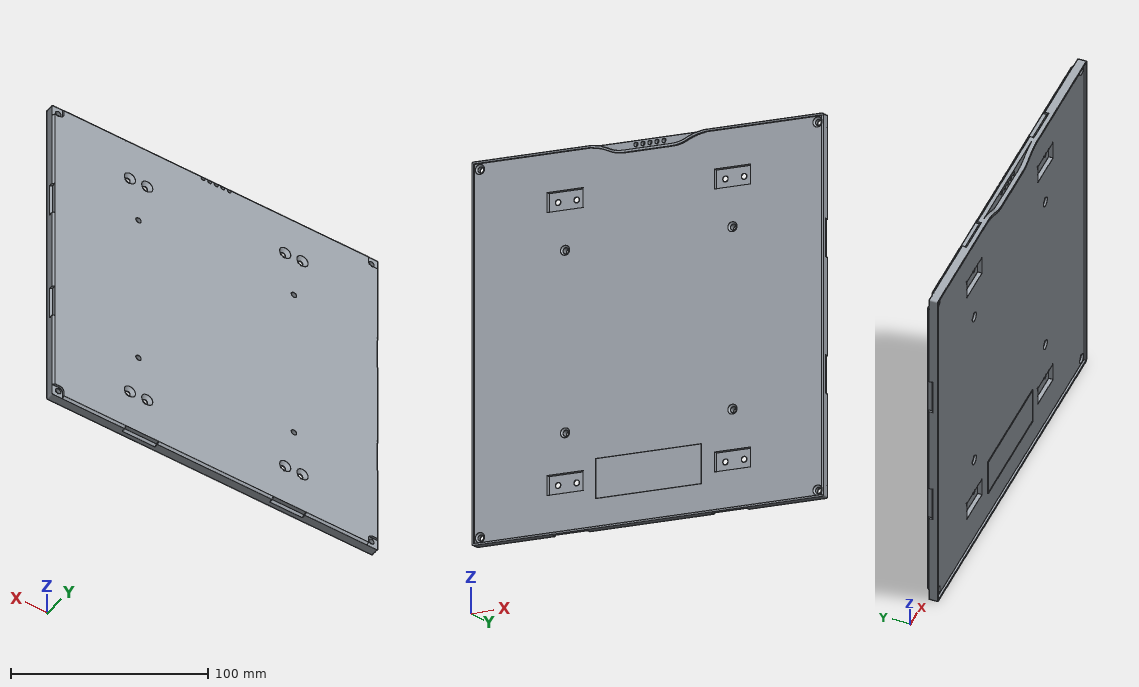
import cadquery as cq
import math

SIDE = 201.8
THICKNESS = 5.9
HALF = SIDE / 2
FRONT = -THICKNESS / 2
BACK = THICKNESS / 2

CORNER_RADIUS = 1.0
CHAMFER = 1.2

RIM_WIDTH = 1.0
NOTCH_RIM_WIDTH = 1.2
RIM_HEIGHT = 1.2
PANEL = FRONT + RIM_HEIGHT

NOTCH_DEPTH = 2.5
NOTCH_DROP = 4.8
NOTCH_BASE_HALF = 14.0
FLANK_INNER_X = 21.4
FLANK_OUTER_X = 23.5
LEAD_X = 30.5
LEAD_ANGLE = math.radians(9)
FLANK_ANGLE = math.radians(24)
OVERSHOOT = 2.0

VENT_COUNT = 5
VENT_PITCH = 4.0
VENT_DIAMETER = 2.2
VENT_Z = 98.9

SCREW_DIAMETER = 3.2
SCREW_HEAD_DIAMETER = 5.2
COUNTERSINK_ANGLE = 90
CORNER_SCREW_OFFSET = 96.9
INNER_SCREW_OFFSET = 48.0

POCKET_WIDTH = 20.5
POCKET_HEIGHT = 10.5
POCKET_DEPTH = 2.5
POCKET_X = INNER_SCREW_OFFSET
POCKET_Z = 74.5
POCKET_HOLE_DIAMETER = 3.0
POCKET_HOLE_HEAD_DIAMETER = 6.9
POCKET_HOLE_SPACING = 10.7

LABEL_WIDTH = 60.5
LABEL_HEIGHT = 21.0
LABEL_RISE = 0.5
LABEL_Z = -POCKET_Z

EDGE_SLOT_LENGTH = 20.2
EDGE_SLOT_SHIFT = 2.2
TOP_SLOT_X = 45.6
SIDE_SLOT_Z = 36.0

SIGNS = (-1, 1)


def front_plane(y):
    """Sketch plane at depth y, with sketch axes X and Z. A negative extrusion runs toward +Y."""
    return cq.Workplane("XZ", origin=(0, y, 0))


def four_points(x, z):
    return [(sx * x, sz * z) for sx in SIGNS for sz in SIGNS]


def notch_profile():
    """Closed notch outline: flat base, two arcs joined by a straight flank, and a straight lead-out."""
    base_z = HALF - NOTCH_DROP

    def arc_rise(run, low, high):
        return run * math.tan((low + high) / 2)

    def arc_middle(x_flat, x_steep, z_flat, slope_flat, slope_steep, sense):
        """Midpoint of the arc between two slopes, from its flatter end; sense is 1 going up and out."""
        radius = abs(x_steep - x_flat) / (math.sin(slope_steep) - math.sin(slope_flat))
        middle = (slope_flat + slope_steep) / 2
        run = radius * (math.sin(middle) - math.sin(slope_flat))
        rise = radius * (math.cos(slope_flat) - math.cos(middle))
        return x_flat + sense * run, z_flat + sense * rise

    flank_low_z = base_z + arc_rise(FLANK_INNER_X - NOTCH_BASE_HALF, 0, FLANK_ANGLE)
    flank_high_z = flank_low_z + (FLANK_OUTER_X - FLANK_INNER_X) * math.tan(FLANK_ANGLE)
    lead_z = flank_high_z + arc_rise(LEAD_X - FLANK_OUTER_X, LEAD_ANGLE, FLANK_ANGLE)
    end_z = HALF + OVERSHOOT
    end_x = LEAD_X + (end_z - lead_z) / math.tan(LEAD_ANGLE)

    low_x, low_z = arc_middle(NOTCH_BASE_HALF, FLANK_INNER_X, base_z, 0, FLANK_ANGLE, 1)
    high_x, high_z = arc_middle(LEAD_X, FLANK_OUTER_X, lead_z, LEAD_ANGLE, FLANK_ANGLE, -1)

    return (
        front_plane(FRONT)
        .moveTo(-NOTCH_BASE_HALF, base_z)
        .lineTo(NOTCH_BASE_HALF, base_z)
        .threePointArc((low_x, low_z), (FLANK_INNER_X, flank_low_z))
        .lineTo(FLANK_OUTER_X, flank_high_z)
        .threePointArc((high_x, high_z), (LEAD_X, lead_z))
        .lineTo(end_x, end_z)
        .lineTo(-end_x, end_z)
        .lineTo(-LEAD_X, lead_z)
        .threePointArc((-high_x, high_z), (-FLANK_OUTER_X, flank_high_z))
        .lineTo(-FLANK_INNER_X, flank_low_z)
        .threePointArc((-low_x, low_z), (-NOTCH_BASE_HALF, base_z))
        .close()
    )


def edge_slot(position):
    """Slot cutter for the top edge: the back chamfer profile moved toward the front."""
    ramp_start = BACK - EDGE_SLOT_SHIFT
    floor_z = HALF - CHAMFER
    return (
        cq.Workplane("YZ", origin=(position - EDGE_SLOT_LENGTH / 2, 0, 0))
        .moveTo(BACK, floor_z)
        .lineTo(ramp_start, floor_z)
        .lineTo(ramp_start - CHAMFER, HALF)
        .lineTo(BACK, HALF)
        .close()
        .extrude(EDGE_SLOT_LENGTH)
    )


def plate():
    blank = cq.Workplane("XY").box(SIDE, THICKNESS, SIDE)
    blank = blank.edges("|Y").fillet(CORNER_RADIUS)
    return blank.faces(">Y").chamfer(CHAMFER)


def panel_recess():
    inner_side = SIDE - 2 * RIM_WIDTH
    square = front_plane(FRONT).rect(inner_side, inner_side).extrude(-RIM_HEIGHT)
    notch_rim = notch_profile().offset2D(NOTCH_RIM_WIDTH).extrude(-RIM_HEIGHT)
    return square.cut(notch_rim)


def corner_reliefs():
    """Square cuts behind the corner screws, rounded around the screw at the inner corner."""
    radius = SCREW_HEAD_DIAMETER / 2
    size = HALF - CORNER_SCREW_OFFSET + radius
    relief = cq.Workplane("XY").box(size, CHAMFER, size)
    relief = relief.edges("|Y and <X and <Z").fillet(radius)
    centre = HALF - size / 2
    relief = relief.translate((centre, BACK - CHAMFER / 2, centre))
    relief = relief.union(relief.mirror("YZ"))
    return relief.union(relief.mirror("XY"))


def with_screw_holes(part):
    points = four_points(CORNER_SCREW_OFFSET, CORNER_SCREW_OFFSET)
    points += four_points(INNER_SCREW_OFFSET, INNER_SCREW_OFFSET)
    return (
        part.copyWorkplane(front_plane(PANEL))
        .pushPoints(points)
        .cskHole(SCREW_DIAMETER, SCREW_HEAD_DIAMETER, COUNTERSINK_ANGLE)
    )


def with_pockets(part):
    """Front pockets whose through holes are countersunk from the back."""
    centres = four_points(POCKET_X, POCKET_Z)
    hole_points = [(x + side * POCKET_HOLE_SPACING / 2, z) for x, z in centres for side in SIGNS]
    recess = front_plane(PANEL).pushPoints(centres).rect(POCKET_WIDTH, POCKET_HEIGHT).extrude(-POCKET_DEPTH)
    back_plane = cq.Workplane(cq.Plane(origin=(0, BACK, 0), xDir=(1, 0, 0), normal=(0, 1, 0)))
    return (
        part.cut(recess)
        .copyWorkplane(back_plane)
        .pushPoints(hole_points)
        .cskHole(POCKET_HOLE_DIAMETER, POCKET_HOLE_HEAD_DIAMETER, COUNTERSINK_ANGLE)
    )


def vent_holes():
    points = [((i - (VENT_COUNT - 1) / 2) * VENT_PITCH, VENT_Z) for i in range(VENT_COUNT)]
    return front_plane(FRONT).pushPoints(points).circle(VENT_DIAMETER / 2).extrude(-THICKNESS)


def label_field():
    return front_plane(PANEL).center(0, LABEL_Z).rect(LABEL_WIDTH, LABEL_HEIGHT).extrude(LABEL_RISE)


result = plate().cut(panel_recess())
result = result.cut(notch_profile().extrude(-NOTCH_DEPTH))
result = result.cut(corner_reliefs())
result = with_screw_holes(result)
result = with_pockets(result)
result = result.cut(vent_holes())
result = result.union(label_field())

for quarter, offset in enumerate((TOP_SLOT_X, SIDE_SLOT_Z, TOP_SLOT_X, SIDE_SLOT_Z)):
    for sign in SIGNS:
        slot = edge_slot(sign * offset).rotate((0, 0, 0), (0, 1, 0), 90 * quarter)
        result = result.cut(slot)